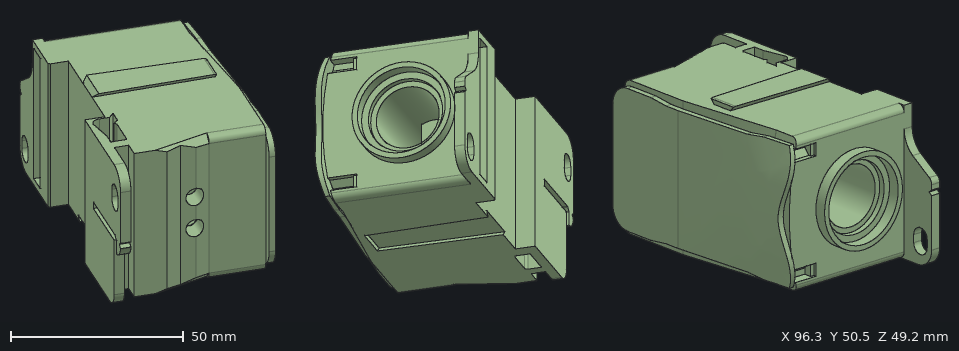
import cadquery as cq

LENGTH = 96.3
HEIGHT = 47.6
MID_Z = HEIGHT / 2
FOOT_THICK = 3.2

WALL_X = 11.9
END_X = 85.7
UPPER_END_X = 82.6
UPPER_END_Y = 31.3
SLOPE_FOOT_Y = 17.5
LEDGE_X = 83.85
LEDGE_Y = (22.2, 27.0)
END_BOTTOM_Y = 7.5
END_STEP_X = 80.5
TOP_Y = 48.5
CORNER_R = 2.3
CORNER_CUT_END_Y = 14.0
CORNER_CUT_LEG = 5.8

CROWN_START_X = 21.2
CROWN_FLAT_X = 57.3
CROWN_EDGE_Y = 44.6
CROWN_MID_Y = 47.75

RAIL_X0 = 27.3
RAIL_X1 = 62.2
RAIL_DEPTH = 6.1
RAIL_CHAMFER = 0.6

FOOT_R = 6.1
LEFT_FOOT_TIP_R = 2.3
LEFT_FOOT_TOP_Z = 27.5
LEFT_FOOT_ARC_X = 8.3
LEFT_FOOT_ARC_Z = (33.0, 40.2)
RIGHT_FOOT_X = 90.2
RIGHT_FOOT_R = 4.4
TAB_X = 92.2
TAB_TIP_Z = 19.3
TAB_TIP_WIDTH = 0.9
TAB_TIP_R = 4.3
TAB_CORNER = 1.2
TAB_ROUND_START_Z = 22.7
NOTCH_DEPTH = 1.1
NOTCH_HALF = 0.9
SCREW_SLOT_W = 5.8
SCREW_SLOT_L = 8.3
SCREW_SLOTS = [(4.9, 7.5), (90.9, 37.0)]

GAP_X = 70.4
GAP_Z0 = 22.5
GAP_Z1 = 24.6
WINDOW_X = (66.9, 77.0)
WINDOW_Y = (FOOT_THICK, 8.1)
WINDOW_R = 0.8
HOOK_TIP_X = 60.9
HOOK_TOP_X = 65.1
HOOK_TOP_Y = 9.0
HOOK_WALL_X = 63.0
HOOK_SHOULDER_Y = 7.3
HOOK_FLOOR_Y = 1.6
HOOK_FLOOR_X = 65.9
HOOK_BEND_Y = 4.1
HOOK_END_X = 73.4

LABEL_X = (13.3, 19.5)
LABEL_MARGIN_Z = 2.2
LABEL_DEPTH = 7.2

ENTRY_Y = 22.3
COLLAR_X = 8.2
COLLAR_R = 15.1
RECESS_R = 13.5
SEAT_R = 11.4
SEAT_X = 13.9
BORE_R = 9.6
BORE_END_X = 77.0
EXIT_R = 2.8
EXIT_PITCH = 10.3

BLOCK_X = (38.5, 72.2)
BLOCK_Y = (11.6, 26.7)
BLOCK_WIDTH = 23.1

TONGUE_H = 1.6
TONGUE_X = 45.5
TONGUE_END_Y = 43.8
TONGUE_TIP = (0.7, 0.2)
TONGUE_HALF = (5.9, 5.0)
GROOVE_DEPTH = 1.5
GROOVE_X = 44.8
GROOVE_END_Y = 44.3
GROOVE_HALF = (8.1, 7.2)
DOVETAIL_FLARE = 1.4

CATCH_NEAR = 16.6
CATCH_FAR = 20.6
CATCH_RAMP_END = 18.7
CATCH_Y = (37.4, 38.7)
CATCH_NEAR_DEPTH = 1.7
CATCH_FAR_DEPTH = 3.5
CATCH_STEP_DEPTH = 1.0

LID_TOP_Y = 50.5
LID_HALF = 22.0
LID_LOBE_X = 10.7
LID_LOBE = 12.5
LID_GRIP_X = 13.8
LID_CORNER_X = 12.5
LID_CORNER_R = 6.4
LID_TOP_DROP = 3.5
LID_SEAT_DROP = 3.0
LID_WAIST_HALF = 21.3
LID_WAIST_IN = (22.7, 29.4)
LID_WAIST_OUT = (62.5, 69.1)


def box(x0, x1, y0, y1, z0, z1):
    return cq.Workplane("XY").box(x1 - x0, y1 - y0, z1 - z0, centered=False).translate((x0, y0, z0))


def along_y(y_end):
    """XZ plane whose positive extrusion runs from y_end down towards the mounting face."""
    return cq.Workplane("XZ", origin=(0, y_end, 0))


def rod_x(radius, x0, x1, y, z):
    return cq.Workplane("YZ", origin=(x0, 0, 0)).center(y, z).circle(radius).extrude(x1 - x0)


def ruled(wires):
    return cq.Workplane(obj=cq.Solid.makeLoft(wires, True))


def crown_section(x, half, edge_y, mid_y):
    """Closed YZ section whose lid side is an arc, or a line where edge and middle are level."""
    low = cq.Vector(x, 0, MID_Z - half)
    high = cq.Vector(x, 0, MID_Z + half)
    low_edge = cq.Vector(x, edge_y, MID_Z - half)
    high_edge = cq.Vector(x, edge_y, MID_Z + half)
    if edge_y == mid_y:
        crown = cq.Edge.makeLine(low_edge, high_edge)
    else:
        crown = cq.Edge.makeThreePointArc(low_edge, cq.Vector(x, mid_y, MID_Z), high_edge)
    return cq.Wire.assembleEdges([
        cq.Edge.makeLine(low, low_edge),
        crown,
        cq.Edge.makeLine(high_edge, high),
        cq.Edge.makeLine(high, low),
    ])


def housing_box():
    plan = [
        (WALL_X, FOOT_THICK), (RAIL_X0, FOOT_THICK), (RAIL_X0, RAIL_DEPTH),
        (RAIL_X1, RAIL_DEPTH), (RAIL_X1, FOOT_THICK), (END_STEP_X, FOOT_THICK),
        (END_STEP_X, END_BOTTOM_Y), (END_X, END_BOTTOM_Y), (END_X, SLOPE_FOOT_Y),
        (LEDGE_X, LEDGE_Y[0]), (LEDGE_X, LEDGE_Y[1]), (UPPER_END_X, UPPER_END_Y),
        (WALL_X, UPPER_END_Y),
    ]
    lower = cq.Workplane("XY").polyline(plan).close().extrude(HEIGHT)
    lower = lower.faces("<X").edges("|Y").fillet(CORNER_R)
    for outer_z, inward in ((0, 1), (HEIGHT, -1)):
        lower = lower.cut(slanted_corner(outer_z, inward))
    upper = box(WALL_X, UPPER_END_X, UPPER_END_Y, TOP_Y, 0, HEIGHT).edges("|Y").fillet(CORNER_R)
    return lower.union(upper).intersect(crown_envelope())


def slanted_corner(outer_z, inward):
    """Triangular bar that takes the corner off the sloping part of the far wall."""
    def triangle(x, y):
        return cq.Wire.makePolygon([
            cq.Vector(x, y, outer_z),
            cq.Vector(x + CORNER_CUT_LEG, y, outer_z),
            cq.Vector(x + CORNER_CUT_LEG, y, outer_z + inward * CORNER_CUT_LEG),
        ], close=True)
    return ruled([triangle(UPPER_END_X - CORNER_R, UPPER_END_Y), triangle(END_X, CORNER_CUT_END_Y)])


def crown_envelope():
    return ruled([
        crown_section(0, MID_Z, CROWN_EDGE_Y, CROWN_MID_Y),
        crown_section(CROWN_START_X, MID_Z, CROWN_EDGE_Y, CROWN_MID_Y),
        crown_section(CROWN_FLAT_X, MID_Z, TOP_Y, TOP_Y),
        crown_section(LENGTH, MID_Z, TOP_Y, TOP_Y),
    ])


def edge_notch(x_edge, inward):
    tip = (x_edge + inward * NOTCH_DEPTH, MID_Z)
    mouth = [(x_edge, MID_Z - NOTCH_HALF), (x_edge, MID_Z + NOTCH_HALF)]
    return along_y(FOOT_THICK).polyline([mouth[0], tip, mouth[1]]).close().extrude(FOOT_THICK)


def left_foot():
    plate = (
        along_y(FOOT_THICK)
        .moveTo(0, 0)
        .lineTo(RAIL_X0, 0)
        .lineTo(RAIL_X0, HEIGHT)
        .lineTo(WALL_X, HEIGHT)
        .lineTo(WALL_X, LEFT_FOOT_ARC_Z[1])
        .tangentArcPoint((LEFT_FOOT_ARC_X, LEFT_FOOT_ARC_Z[0]), relative=False)
        .lineTo(0, LEFT_FOOT_TOP_Z)
        .close()
        .extrude(FOOT_THICK)
    )
    plate = plate.faces("<X").edges("|Y").edges("<Z").fillet(FOOT_R)
    plate = plate.faces("<X").edges("|Y").edges(">Z").fillet(LEFT_FOOT_TIP_R)
    plate = plate.faces("<Y").edges(">X").chamfer(RAIL_CHAMFER)
    return plate.cut(edge_notch(0, 1))


def right_foot():
    plate = (
        along_y(FOOT_THICK)
        .moveTo(RAIL_X1, 0)
        .lineTo(RIGHT_FOOT_X - RIGHT_FOOT_R, 0)
        .radiusArc((RIGHT_FOOT_X, RIGHT_FOOT_R), -RIGHT_FOOT_R)
        .lineTo(RIGHT_FOOT_X, GAP_Z0)
        .lineTo(GAP_X, GAP_Z0)
        .lineTo(GAP_X, GAP_Z1)
        .lineTo(TAB_X - TAB_CORNER, GAP_Z1)
        .lineTo(TAB_X, GAP_Z1 - TAB_CORNER)
        .lineTo(TAB_X, TAB_TIP_Z)
        .lineTo(TAB_X + TAB_TIP_WIDTH, TAB_TIP_Z)
        .radiusArc((LENGTH, TAB_ROUND_START_Z), -TAB_TIP_R)
        .lineTo(LENGTH, HEIGHT - FOOT_R)
        .radiusArc((LENGTH - FOOT_R, HEIGHT), -FOOT_R)
        .lineTo(RAIL_X1, HEIGHT)
        .close()
        .extrude(FOOT_THICK)
    )
    return plate.cut(edge_notch(LENGTH, -1))


def screw_slots():
    return (
        along_y(FOOT_THICK)
        .pushPoints(SCREW_SLOTS)
        .slot2D(SCREW_SLOT_L, SCREW_SLOT_W, 90)
        .extrude(FOOT_THICK)
    )


def latch_window():
    window = box(*WINDOW_X, *WINDOW_Y, 0, HEIGHT)
    return window.faces(">Y").edges("|Z").fillet(WINDOW_R)


def hook_recess():
    """Clearance for the rail hook, in the sprung upper half of the right foot."""
    return (
        cq.Workplane("XY", origin=(0, 0, GAP_Z1))
        .moveTo(HOOK_TIP_X, HOOK_TOP_Y)
        .lineTo(HOOK_TOP_X, HOOK_TOP_Y)
        .lineTo(WINDOW_X[0], HOOK_SHOULDER_Y)
        .lineTo(WINDOW_X[0], FOOT_THICK)
        .lineTo(HOOK_END_X, FOOT_THICK)
        .lineTo(HOOK_FLOOR_X, HOOK_FLOOR_Y)
        .tangentArcPoint((HOOK_WALL_X, HOOK_BEND_Y), relative=False)
        .lineTo(HOOK_WALL_X, HOOK_SHOULDER_Y)
        .close()
        .extrude(HEIGHT - GAP_Z1)
    )


def label_pocket():
    return box(*LABEL_X, 0, LABEL_DEPTH, LABEL_MARGIN_Z, HEIGHT - LABEL_MARGIN_Z)


def entry_bore():
    bore = rod_x(BORE_R, COLLAR_X, BORE_END_X, ENTRY_Y, MID_Z)
    bore = bore.union(rod_x(SEAT_R, COLLAR_X, SEAT_X, ENTRY_Y, MID_Z))
    bore = bore.union(rod_x(RECESS_R, COLLAR_X, WALL_X, ENTRY_Y, MID_Z))
    for side in (-1, 1):
        exit_z = MID_Z + side * EXIT_PITCH / 2
        bore = bore.union(rod_x(EXIT_R, BORE_END_X, END_X, BLOCK_Y[1], exit_z))
    return bore


def dovetail(center_x, face_z, wide_z, y_end, wide_half):
    """Tapered bar, narrow at the housing face face_z and wide at wide_z."""
    def section(y, half):
        base = half - DOVETAIL_FLARE
        return cq.Wire.makePolygon([
            cq.Vector(center_x - base, y, face_z),
            cq.Vector(center_x + base, y, face_z),
            cq.Vector(center_x + half, y, wide_z),
            cq.Vector(center_x - half, y, wide_z),
        ], close=True)
    return ruled([section(RAIL_DEPTH, wide_half[0]), section(y_end, wide_half[1])])


def tongue():
    top_z = HEIGHT + TONGUE_H
    bar = dovetail(TONGUE_X, HEIGHT, top_z, TONGUE_END_Y, TONGUE_HALF)
    lead_in = (
        cq.Workplane("YZ")
        .polyline([(RAIL_DEPTH, HEIGHT), (RAIL_DEPTH + TONGUE_H, top_z), (RAIL_DEPTH, top_z)])
        .close()
        .extrude(LENGTH)
    )
    tip_slope = (
        cq.Workplane("YZ")
        .polyline([
            (TONGUE_END_Y - TONGUE_TIP[0], top_z),
            (TONGUE_END_Y, top_z - TONGUE_TIP[1]),
            (TONGUE_END_Y, top_z),
        ])
        .close()
        .extrude(LENGTH)
    )
    return bar.cut(lead_in).cut(tip_slope)


def groove():
    return dovetail(GROOVE_X, 0, GROOVE_DEPTH, GROOVE_END_Y, GROOVE_HALF)


def catch_pocket(side):
    near = MID_Z + side * CATCH_NEAR
    far = MID_Z + side * CATCH_FAR
    ramp_end = MID_Z + side * CATCH_RAMP_END
    near_x = WALL_X + CATCH_NEAR_DEPTH
    far_x = WALL_X + CATCH_FAR_DEPTH
    profile = [(WALL_X, near), (near_x, near), (far_x, ramp_end), (far_x, far), (WALL_X, far)]
    pocket = along_y(TOP_Y).polyline(profile).close().extrude(TOP_Y - CATCH_Y[1])
    step = box(WALL_X, WALL_X + CATCH_STEP_DEPTH, *CATCH_Y, min(near, far), max(near, far))
    return pocket.union(step)


def make_terminal_block():
    return box(*BLOCK_X, *BLOCK_Y, MID_Z - BLOCK_WIDTH / 2, MID_Z + BLOCK_WIDTH / 2)


def make_housing():
    body = housing_box().union(left_foot()).union(right_foot())
    body = body.union(rod_x(COLLAR_R, COLLAR_X, WALL_X, ENTRY_Y, MID_Z))
    body = body.union(tongue())
    body = body.cut(groove()).cut(screw_slots()).cut(label_pocket())
    body = body.cut(latch_window()).cut(hook_recess())
    body = body.cut(entry_bore())
    for side in (-1, 1):
        body = body.cut(catch_pocket(side))
    return body.cut(make_terminal_block())


def lid_envelope(mid_y, edge_drop):
    """Volume below a surface that is level at the far end and falls at its sides at the entry end."""
    return ruled([
        crown_section(LID_LOBE_X - 1, LID_HALF, mid_y - edge_drop, mid_y),
        crown_section(CROWN_FLAT_X, LID_HALF, mid_y, mid_y),
        crown_section(LENGTH, LID_HALF, mid_y, mid_y),
    ])


def make_lid():
    low_z = MID_Z - LID_HALF
    high_z = MID_Z + LID_HALF
    grip_edge = [
        (LID_LOBE_X, MID_Z + LID_LOBE),
        (LID_GRIP_X, MID_Z),
        (LID_LOBE_X, MID_Z - LID_LOBE),
        (LID_CORNER_X, low_z),
    ]
    waist = [
        (LID_WAIST_IN[0], LID_HALF), (LID_WAIST_IN[1], LID_WAIST_HALF),
        (LID_WAIST_OUT[0], LID_WAIST_HALF), (LID_WAIST_OUT[1], LID_HALF),
    ]
    lower_side = [(x, MID_Z - half) for x, half in waist]
    upper_side = [(x, MID_Z + half) for x, half in reversed(waist)]
    sides = [
        (LID_CORNER_X, low_z), *lower_side, (END_X, low_z),
        (END_X, high_z), *upper_side, (LID_CORNER_X, high_z),
    ]
    plan = (
        along_y(LID_TOP_Y)
        .polyline(sides)
        .spline(grip_edge, includeCurrent=True)
        .close()
        .extrude(LID_TOP_Y)
    )
    plan = plan.faces(">X").edges("|Y").fillet(LID_CORNER_R)
    return plan.intersect(lid_envelope(LID_TOP_Y, LID_TOP_DROP)).cut(lid_envelope(TOP_Y, LID_SEAT_DROP))


housing = make_housing()
terminal_block = make_terminal_block()
lid = make_lid()

result = cq.Compound.makeCompound([housing.val(), terminal_block.val(), lid.val()])